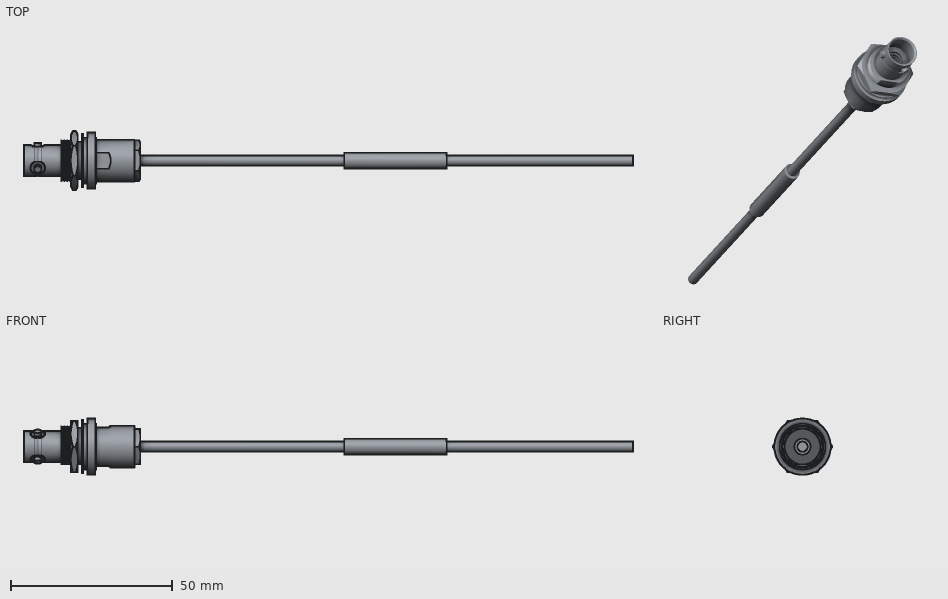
import cadquery as cq
import math

total_length = 188.47
X_FRONT = -total_length / 2

lug_x = 4.26
insert_front = 6.5
insert_back = 19.0
thread_start = 11.6
nut_front = 14.5
nut_back = 16.7
washer_front = 17.9
washer_back = 18.4
flange_front = 19.6
flange_back = 22.13
shoulder_back = 22.4
flat_side_end = 26.2
flat_middle_end = 26.85
body_chamfer_start = 34.06
body_back = 34.33
rear_nut_back = 36.05
tube_start = 99.05
tube_length = 31.75

barrel_radius = 4.85
barrel_bore = 4.1
mouth_chamfer = 0.4
thread_radius = 6.35
thread_pitch = 25.4 / 28
thread_depth = 0.5
flange_radius = 17.5 / 2
shoulder_radius = 7.1
body_radius = 6.5
cable_radius = 1.6
tube_radius = 2.5
washer_radius = 8.25
seal_radius = 7.1

flat_height = 6.0
key_flat_height = 5.4

lug_count = 3
lug_angle = 360 / lug_count
first_lug_angle = -90
lug_radius = 1.14
lug_top = 5.5
lug_root = 4.2
spotface_radius = 2.27
spotface_height = 4.3
groove_depth = 0.1

nut_across_corners = 18.48
rear_nut_across_flats = 11.0
hex_chamfer_angle = math.radians(30)
hex_half_angle = math.radians(30)
hex_trim_margin = 0.1

contact_bore = 2.55
dielectric_bore = 2.0
pin_bore = 1.65
pin_radius = 0.74
socket_radius = 0.3
contact_step = 1.0
socket_depth = 3.0


def revolve_about_axis(points):
    """Turn (station, radius) points, given around a closed outline, about the X axis."""
    profile = cq.Workplane("XZ").polyline([(X_FRONT + x, r) for x, r in points]).close()
    return profile.revolve(360, (0, 0, 0), (1, 0, 0))


def ring(start, end, outer, inner):
    return revolve_about_axis([(start, inner), (start, outer), (end, outer), (end, inner)])


def rod(start, end, radius):
    return ring(start, end, radius, 0)


def hex_prism(start, end, across_corners):
    """Hexagon with flats facing up and down and corners on the Y axis."""
    plane = cq.Workplane("YZ").workplane(offset=X_FRONT + start)
    return plane.polygon(6, across_corners).extrude(end - start)


def hex_corner_trim(start, end, across_corners, trim_front):
    """Round blank whose conical ends take the corners off a hexagon."""
    face = across_corners / 2 * math.cos(hex_half_angle)
    outside = across_corners / 2 + hex_trim_margin
    drop = (outside - face) * math.tan(hex_chamfer_angle)
    points = [(end, 0), (end, face), (end - drop, outside)]
    if trim_front:
        points += [(start + drop, outside), (start, face), (start, 0)]
    else:
        points += [(start, outside), (start, 0)]
    return revolve_about_axis(points)


def body_blank():
    """Turned outline: grooved barrel, threaded neck, flange and rear housing."""
    points = [
        (0, 0),
        (0, barrel_radius),
        (lug_x - lug_radius, barrel_radius),
        (lug_x, barrel_radius - groove_depth),
        (lug_x + lug_radius, barrel_radius),
        (thread_start, barrel_radius),
    ]
    root = thread_radius - thread_depth
    turns = int((washer_front - thread_start) / thread_pitch)
    for turn in range(turns):
        x = thread_start + turn * thread_pitch
        points += [(x, thread_radius), (x + thread_pitch / 2, root)]
    chamfer = body_back - body_chamfer_start
    points += [
        (flange_front, root),
        (flange_front, flange_radius),
        (flange_back, flange_radius),
        (flange_back, shoulder_radius),
        (shoulder_back, shoulder_radius),
        (shoulder_back, body_radius),
        (body_chamfer_start, body_radius),
        (body_back, body_radius - chamfer),
        (body_back, 0),
    ]
    return revolve_about_axis(points)


def wrench_flat_cutter():
    """Plate above the top flat, with a bowed end towards the rear of the body."""
    half_width = math.sqrt(body_radius**2 - flat_height**2)
    x_start = X_FRONT + shoulder_back
    x_side = X_FRONT + flat_side_end
    return (
        cq.Workplane("XY")
        .workplane(offset=flat_height)
        .moveTo(x_start, -half_width)
        .lineTo(x_side, -half_width)
        .threePointArc((X_FRONT + flat_middle_end, 0), (x_side, half_width))
        .lineTo(x_start, half_width)
        .close()
        .extrude(body_radius - flat_height)
    )


def key_flat_cutter():
    """Block below the flat on the underside of the thread."""
    length = flange_front - thread_start
    corner = (X_FRONT + thread_start, -thread_radius, -thread_radius)
    return cq.Workplane("XY").box(
        length, 2 * thread_radius, thread_radius - key_flat_height, centered=False
    ).translate(corner)


def bayonet_lug(angle):
    """Spotface cutter and lug pin, both standing radially at the given angle about X."""
    base = cq.Workplane("XY").center(X_FRONT + lug_x, 0)
    spotface = base.workplane(offset=spotface_height).circle(spotface_radius).extrude(barrel_radius)
    pin = base.workplane(offset=lug_root).circle(lug_radius).extrude(lug_top - lug_root)
    return [s.rotate((0, 0, 0), (1, 0, 0), angle) for s in (spotface, pin)]


def mouth_cutter():
    """Cone that opens the mouth of the barrel bore."""
    mouth_radius = barrel_bore + mouth_chamfer
    return revolve_about_axis([(0, 0), (0, mouth_radius), (mouth_chamfer, barrel_bore), (mouth_chamfer, 0)])


def make_body():
    wrench_flat = wrench_flat_cutter()
    body = body_blank().cut(wrench_flat).cut(wrench_flat.mirror("XY")).cut(key_flat_cutter())
    for index in range(lug_count):
        spotface, pin = bayonet_lug(first_lug_angle + index * lug_angle)
        body = body.cut(spotface).union(pin)
    body = body.cut(rod(0, insert_back, barrel_bore)).cut(mouth_cutter())
    return body.cut(rod(insert_back, body_back, cable_radius))


def make_panel_nut():
    nut = hex_prism(nut_front, nut_back, nut_across_corners)
    nut = nut.intersect(hex_corner_trim(nut_front, nut_back, nut_across_corners, True))
    return nut.cut(rod(nut_front, nut_back, thread_radius))


def make_rear_nut():
    across_corners = rear_nut_across_flats / math.cos(hex_half_angle)
    nut = hex_prism(body_back, rear_nut_back, across_corners)
    nut = nut.intersect(hex_corner_trim(body_back, rear_nut_back, across_corners, False))
    return nut.cut(rod(body_back, rear_nut_back, cable_radius))


def make_insert():
    """Contact insert with stepped recesses around a hollow centre contact."""
    step_1 = insert_front + contact_step
    step_2 = step_1 + contact_step
    step_3 = step_2 + contact_step
    return revolve_about_axis([
        (insert_front, contact_bore),
        (insert_front, barrel_bore),
        (insert_back, barrel_bore),
        (insert_back, 0),
        (step_1 + socket_depth, 0),
        (step_1 + socket_depth, socket_radius),
        (step_1, socket_radius),
        (step_1, pin_radius),
        (step_3, pin_radius),
        (step_3, pin_bore),
        (step_2, pin_bore),
        (step_2, dielectric_bore),
        (step_1, dielectric_bore),
        (step_1, contact_bore),
    ])


body = make_body()
insert = make_insert()
panel_nut = make_panel_nut()
washer = ring(washer_front, washer_back, washer_radius, thread_radius)
seal = ring(washer_back, flange_front, seal_radius, thread_radius)
rear_nut = make_rear_nut()
cable = rod(insert_back, total_length, cable_radius)
tube = ring(tube_start, tube_start + tube_length, tube_radius, cable_radius)

result = cq.Compound.makeCompound(
    [part.val() for part in (body, insert, panel_nut, washer, seal, rear_nut, cable, tube)]
)